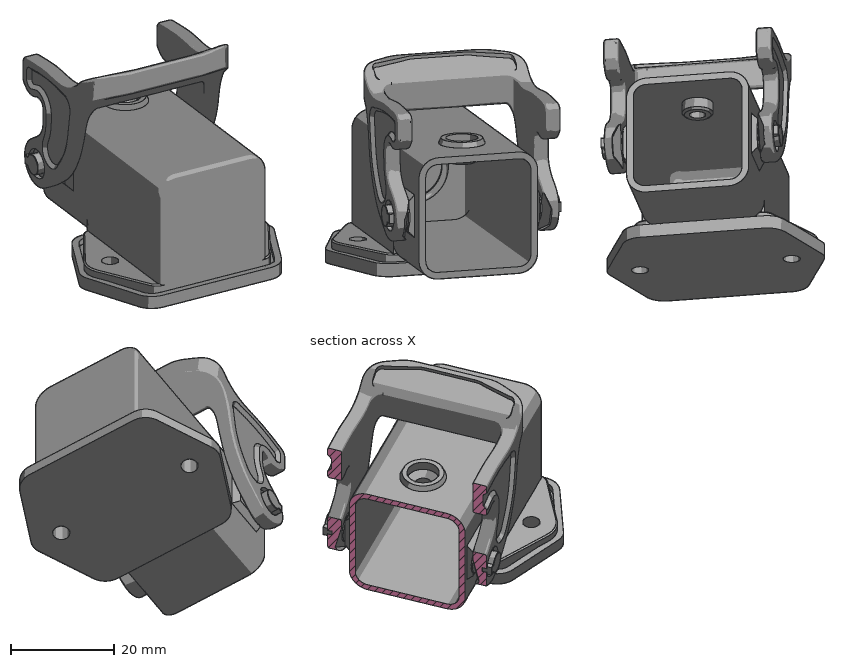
import cadquery as cq
import math


reach = 56.0
overrun = 0.45

housing_length = 44.7
housing_width = 24.1
housing_bottom = 2.6
housing_top = 26.8
corner_radius = 3.9
rear_edge_radius = 1.05
wall = 1.35
cavity_corner_radius = 2.45
rear_wall = 2.8
rear_corner_radius = 2.0
square_foot_start = 16.8
gland_diameter = 12.05
gland_rim_radius = 1.0
gland_depth = 1.35
gland_height = 14.75

boss_x = 10.8
boss_base_diameter = 9.05
boss_top_diameter = 8.1
boss_top = 27.8
boss_bore_diameter = 6.2
boss_bore_depth = 1.77
boss_cone_depth = 0.95
boss_hole_diameter = 3.15
inner_boss_diameter = 6.0
inner_boss_bottom = 23.05
inner_boss_chamfer = 0.4

flange_x = 30.6
flange_half_length = 15.4
flange_thickness = housing_bottom
flange_apex = 21.7
flange_shoulder = 14.9
flange_apex_radius = 3.5
flange_end_radius = 4.3
groove_inset = 1.35
groove_depth = 1.15
plate_half_length = housing_length - flange_x
plate_top = 4.25
plate_apex = 20.75
plate_shoulder = 12.8
plate_apex_radius = 5.05
plate_end_radius = 2.8
plate_chamfer = 0.3
mount_hole_y = 14.95
mount_hole_diameter = 3.3

pivot_x = 5.05
pivot_z = 14.75
pad_front = 2.95
pad_rear = 11.5
pad_half_height = 4.25
pad_height = 1.2
pivot_disc_diameter = 6.0
pin_diameter = 4.2
pin_chamfer = 0.1
pin_end = 17.5
pin_key_reach = 2.95
pin_key_width = 1.85
pin_recess_depth = 0.95

arm_inside = 13.55
arm_outside = 16.52
lever_edge_radius = 0.45
hub_radius = 5.0
hub_lower_angle = -59
hub_upper_angle = 125
lever_front = -0.65
grip_end = 26.9
profile_end = grip_end + 0.95
grip_start = 20.85
bar_front = 19.35
bar_corner_radius = 1.95
arm_pocket_depth = 0.75
arm_pocket_taper = 45
clearance_depth = 1.4


def hexagon(half_length, apex, shoulder, apex_radius, end_radius, height):
    """Prism on a hexagon with apexes on +Y and -Y and rounded corners."""
    prism = (
        cq.Workplane("XY")
        .polyline([
            (half_length, -shoulder), (half_length, shoulder), (0, apex),
            (-half_length, shoulder), (-half_length, -shoulder), (0, -apex),
        ])
        .close()
        .extrude(height)
    )
    prism = prism.edges("|Z").edges(">Y or <Y").fillet(apex_radius)
    ends = prism.edges("|Z").edges(">X or <X")
    return ends.fillet(end_radius).translate((flange_x, 0, 0))


def make_flange():
    size = (flange_half_length, flange_apex, flange_shoulder, flange_apex_radius, flange_end_radius)
    flange = hexagon(*size, flange_thickness)
    groove = (
        flange.faces(">Z").wires().toPending().offset2D(-groove_inset).extrude(-groove_depth, combine=False)
    )
    plate = hexagon(
        plate_half_length, plate_apex, plate_shoulder, plate_apex_radius, plate_end_radius, plate_top
    )
    plate = plate.faces(">Z").edges().chamfer(plate_chamfer)
    return flange.cut(groove).union(plate)


def rounded_tube(start, end, width, bottom, top, radius):
    """Bar along X with a rectangular section rounded at its four corners."""
    bar = cq.Workplane("XY").box(end - start, width, top - bottom, centered=(False, True, False))
    return bar.translate((start, 0, bottom)).edges("|X").fillet(radius)


def make_housing():
    body = rounded_tube(0, housing_length, housing_width, housing_bottom, housing_top, corner_radius)
    foot = cq.Workplane("XY").box(
        housing_length - square_foot_start, housing_width, 2 * corner_radius, centered=(False, True, False)
    ).translate((square_foot_start, 0, housing_bottom))
    body = body.union(foot)
    rear_edges = body.faces(">X").edges("not <Z")
    return rear_edges.fillet(rear_edge_radius)


def make_cavity():
    half_width = housing_width / 2 - wall
    floor = housing_bottom + wall
    roof = housing_top - wall
    rear = housing_length - rear_wall
    section = rounded_tube(-overrun, rear, 2 * half_width, floor, roof, cavity_corner_radius)
    round_end = rounded_tube(-overrun, rear, 2 * half_width, -housing_top, roof, cavity_corner_radius)
    round_end = round_end.faces(">X").edges().fillet(rear_corner_radius)
    return section.intersect(round_end)


def make_gland_recess():
    """Round recess in the inner face of the rear wall, with a rounded rim."""
    radius = gland_diameter / 2
    rim = gland_rim_radius
    return (
        cq.Workplane("XY")
        .moveTo(-overrun, 0)
        .lineTo(-overrun, radius + rim)
        .lineTo(0, radius + rim)
        .radiusArc((rim, radius), rim)
        .lineTo(gland_depth, radius)
        .lineTo(gland_depth, 0)
        .close()
        .revolve(360, (0, 0, 0), (1, 0, 0))
        .translate((housing_length - rear_wall, 0, gland_height))
    )


def make_roof_boss():
    outside = (
        cq.Workplane("XZ")
        .moveTo(0, inner_boss_bottom)
        .lineTo(inner_boss_diameter / 2 - inner_boss_chamfer, inner_boss_bottom)
        .lineTo(inner_boss_diameter / 2, inner_boss_bottom + inner_boss_chamfer)
        .lineTo(inner_boss_diameter / 2, housing_top - wall / 2)
        .lineTo(boss_base_diameter / 2, housing_top - wall / 2)
        .lineTo(boss_base_diameter / 2, housing_top)
        .lineTo(boss_top_diameter / 2, boss_top)
        .lineTo(0, boss_top)
        .close()
        .revolve(360, (0, 0, 0), (0, 1, 0))
    )
    return outside.translate((boss_x, 0, 0))


def make_roof_hole():
    cone_top = boss_top - boss_bore_depth
    hole = (
        cq.Workplane("XZ")
        .moveTo(0, boss_top + overrun)
        .lineTo(boss_bore_diameter / 2, boss_top + overrun)
        .lineTo(boss_bore_diameter / 2, cone_top)
        .lineTo(boss_hole_diameter / 2, cone_top - boss_cone_depth)
        .lineTo(boss_hole_diameter / 2, inner_boss_bottom - overrun)
        .lineTo(0, inner_boss_bottom - overrun)
        .close()
        .revolve(360, (0, 0, 0), (0, 1, 0))
    )
    return hole.translate((boss_x, 0, 0))


def make_pad():
    """Block with three 45 degree flanks and an upright front on the +Y side of the housing."""
    side = housing_width / 2
    length = pad_rear - pad_front
    flanked = (
        cq.Workplane("XZ", origin=(pad_front, side, pivot_z))
        .rect(2 * length, 2 * pad_half_height)
        .extrude(-pad_height, taper=45)
    )
    rear_half = cq.Workplane("XY").box(length, 2 * reach, 2 * reach, centered=(False, True, True))
    return flanked.intersect(rear_half.translate((pad_front, 0, 0)))


def pivot_plane(y):
    """Sketch plane square to the pivot axis at the given distance from the symmetry plane."""
    return cq.Workplane("XZ", origin=(pivot_x, y, pivot_z))


def make_pivot():
    """Disc between pad and arm, and the keyed pin end that stands in the arm's recess."""
    pad_face = housing_width / 2 + pad_height
    recess_floor = arm_outside - pin_recess_depth
    pin_length = pin_end - recess_floor
    disc = pivot_plane(pad_face).circle(pivot_disc_diameter / 2).extrude(pad_face - arm_inside)
    pin = pivot_plane(recess_floor).circle(pin_diameter / 2).extrude(-pin_length)
    key = (
        pivot_plane(recess_floor)
        .center(-pin_key_reach / 2, 0)
        .rect(pin_key_reach, pin_key_width)
        .extrude(-pin_length)
    )
    pin = pin.union(key).faces(">Y").chamfer(pin_chamfer)
    return disc, pin


def make_pin_recess():
    return pivot_plane(arm_outside).circle(pivot_disc_diameter / 2).extrude(pin_recess_depth)


def hub_point(degrees):
    """Point on the round hub at an angle from +X."""
    angle = math.radians(degrees)
    return (pivot_x + hub_radius * math.cos(angle), pivot_z + hub_radius * math.sin(angle))


def smooth_path(sketch, stations):
    """Extend a sketch through (first, second, heading in degrees) stations with tangent-continuous curves."""
    heading = stations[0][2]
    for first, second, next_heading in stations[1:]:
        directions = [
            (math.cos(math.radians(angle)), math.sin(math.radians(angle)))
            for angle in (heading, next_heading)
        ]
        sketch = sketch.spline([(first, second)], tangents=directions, includeCurrent=True)
        heading = next_heading
    return sketch


def lever_profile():
    """Side outline of the lever, from the pivot hub up around the hook to the grip and back."""
    front_and_top = [
        (*hub_point(hub_upper_angle), hub_upper_angle - 90),
        (4.85, 20.6, 37), (7.1, 24.85, 90), (7.1, 27.45, 90),
        (5.1, 28.95, 180), (4.05, 28.65, 200), (2.95, 28.45, 178), (0.5, 29.3, 134), (lever_front, 31.2, 90),
        (lever_front, 34.08, 90), (1.3, 36.0, 5), (7.75, 36.35, 0), (13.15, 36.0, -3),
        (16.8, 36.3, 15), (20.3, 38.3, 44), (profile_end, 41.45, 2),
    ]
    underside = [
        (profile_end, 79.6, 195), (21.0, 33.25, 226), (19.75, 30.8, 248), (19.05, 28.25, 259),
        (18.6, 25.5, 260), (16.0, 18.45, 241), (11.65, 13.25, 217),
        (*hub_point(hub_lower_angle), hub_lower_angle + 270),
    ]
    hub_front_angle = (hub_upper_angle + hub_lower_angle) / 2 + 180
    sketch = smooth_path(cq.Workplane("XZ").moveTo(*hub_point(hub_upper_angle)), front_and_top)
    sketch = smooth_path(sketch.lineTo(profile_end, 37.15), underside)
    return sketch.threePointArc(hub_point(hub_front_angle), hub_point(hub_upper_angle)).close()


def make_lever_blank():
    """Side profile trimmed to the plan of two straight arms that meet in a rounded grip."""
    corner = [(grip_start, -arm_outside, 0), (23.9, -15.3, 42), (25.5, -12.6, 70), (grip_end, -7.4, 90)]
    mirrored_corner = [(x, -y, 180 - heading) for x, y, heading in reversed(corner)]
    plan = cq.Workplane("XY").moveTo(lever_front - overrun, -arm_outside).lineTo(grip_start, -arm_outside)
    plan = smooth_path(plan, corner).lineTo(grip_end, 7.4)
    plan = smooth_path(plan, mirrored_corner).lineTo(lever_front - overrun, arm_outside)
    plan = plan.close().extrude(reach)
    side_prism = lever_profile().extrude(2 * arm_outside).translate((0, arm_outside, 0))
    return side_prism.intersect(plan)


def make_lever():
    lever = make_lever_blank().edges("not (|Y or |Z)").fillet(lever_edge_radius)
    gap = (
        cq.Workplane("XY")
        .box(bar_front - lever_front + overrun, 2 * arm_inside, reach, centered=(False, True, False))
        .translate((lever_front - overrun, 0, 0))
        .edges("|Z and >X")
        .fillet(bar_corner_radius)
    )
    margin = 0.05
    around_gap = cq.selectors.BoxSelector(
        (lever_front - overrun, -arm_inside - margin, 0),
        (bar_front + margin, arm_inside + margin, reach),
        boundingbox=True,
    )
    lever = lever.cut(gap)
    return lever.edges(around_gap).edges("not (|Y or |Z)").fillet(lever_edge_radius)


def make_arm_pocket():
    """Shallow pocket in the outer face of the +Y arm."""
    return (
        cq.Workplane("XZ", origin=(0, arm_outside, 0))
        .moveTo(1.15, 31.2)
        .lineTo(1.15, 33.3)
        .threePointArc((1.5, 34.0), (2.4, 34.3))
        .threePointArc((8.65, 34.75), (15.1, 34.0))
        .threePointArc((17.25, 33.05), (17.85, 31.0))
        .lineTo(16.95, 25.5)
        .threePointArc((15.5, 21.25), (13.1, 17.7))
        .threePointArc((9.1, 16.35), (7.2, 19.15))
        .threePointArc((7.3, 20.25), (7.65, 21.25))
        .threePointArc((8.4, 23.35), (8.65, 25.5))
        .lineTo(8.65, 27.1)
        .threePointArc((7.55, 29.55), (5.0, 30.58))
        .lineTo(2.8, 29.95)
        .threePointArc((1.77, 30.25), (1.15, 31.2))
        .close()
        .extrude(arm_pocket_depth, taper=arm_pocket_taper)
    )


def make_grip_pocket():
    """Pocket in the top of the grip with an inclined flat floor."""
    plan = (
        cq.Workplane("XY")
        .moveTo(20.1, -13.3)
        .threePointArc((20.45, -14.05), (21.2, -14.35))
        .lineTo(22.83, -14.35)
        .threePointArc((23.57, -13.9), (23.9, -12.95))
        .lineTo(25.15, -7.4)
        .threePointArc((25.5, -6.2), (25.6, -5.0))
        .lineTo(25.6, 5.0)
        .threePointArc((25.5, 6.2), (25.15, 7.4))
        .lineTo(23.9, 12.95)
        .threePointArc((23.57, 13.9), (22.83, 14.35))
        .lineTo(21.2, 14.35)
        .threePointArc((20.45, 14.05), (20.1, 13.3))
        .close()
        .extrude(reach)
    )
    above_floor = (
        cq.Workplane("XZ")
        .polyline([(20.1, 38.15), (20.8, 38.55), (25.6, 40.55), (25.6, reach), (20.1, reach)])
        .close()
        .extrude(arm_outside, both=True)
    )
    return plan.intersect(above_floor)


def make_pivot_clearance():
    """Wedge-sided clearance in the inner face of the +Y arm, open to the front of the hub."""
    return (
        cq.Workplane("XZ", origin=(0, arm_inside, 0))
        .polyline([(-2.35, 9.95), (4.75, 9.95), (1.4, 18.45), (-2.35, 18.45)])
        .close()
        .workplane(offset=-clearance_depth)
        .polyline([(-2.35, 11.5), (1.95, 11.5), (0.55, 14.95), (-2.35, 14.95)])
        .close()
        .loft(combine=True)
    )


def both_sides(shape):
    return shape.union(shape.mirror("XZ"))


def make_mount_holes():
    return (
        cq.Workplane("XY")
        .pushPoints([(flange_x, -mount_hole_y), (flange_x, mount_hole_y)])
        .circle(mount_hole_diameter / 2)
        .extrude(plate_top)
    )


lever = make_lever().cut(make_grip_pocket())
for cutter in (make_arm_pocket(), make_pin_recess(), make_pivot_clearance()):
    lever = lever.cut(both_sides(cutter))

result = make_housing().union(make_flange())
result = result.cut(make_cavity()).cut(make_gland_recess()).cut(make_mount_holes())
result = result.union(make_roof_boss()).cut(make_roof_hole())
result = result.union(both_sides(make_pad())).union(lever)
for pivot_part in make_pivot():
    result = result.union(both_sides(pivot_part))